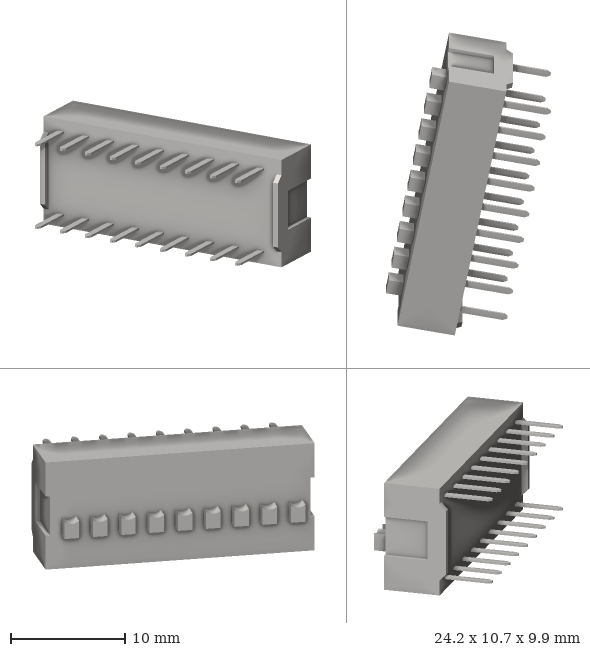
import cadquery as cq


body_length = 24.16
body_thickness = 5.1
body_height = 9.9
body_shift = 0.15

rib_width = 0.5
rib_height = 0.6
rib_base_length = 7.1
rib_top_length = rib_base_length - 2 * rib_height

recess_depth = 0.4
recess_length = 4.0
recess_height = 3.6

position_count = 9
pitch = 2.54
row_spacing = 7.62
pin_width = 0.6
pin_thickness = 0.2
pin_length = 4.3
pin_tip_width = 0.2
pin_taper_length = 0.36

actuator_width = 1.3
actuator_height = 1.6
actuator_length = 1.3
actuator_scoop_depth = 0.25
actuator_bottom = -recess_height / 2

overlap = 0.2

body_left = body_shift - body_length / 2
body_right = body_shift + body_length / 2
position_xs = [pitch * (i - (position_count - 1) / 2) for i in range(position_count)]


def block(x_min, x_max, y_min, y_max, z_min, z_max):
    size = (x_max - x_min, y_max - y_min, z_max - z_min)
    return cq.Workplane("XY").box(*size, centered=False).translate((x_min, y_min, z_min))


def make_rib(x_start):
    half_base = rib_base_length / 2
    half_top = rib_top_length / 2
    profile = [
        (overlap, -half_base),
        (0, -half_base),
        (-rib_height, -half_top),
        (-rib_height, half_top),
        (0, half_base),
        (overlap, half_base),
    ]
    return cq.Workplane("YZ", origin=(x_start, 0, 0)).polyline(profile).close().extrude(rib_width)


def make_recess(x_start):
    return block(
        x_start, x_start + recess_depth,
        body_thickness - recess_length, body_thickness,
        -recess_height / 2, recess_height / 2,
    )


def make_housing():
    housing = block(body_left, body_right, 0, body_thickness, -body_height / 2, body_height / 2)
    for x_start in (body_left, body_right - rib_width):
        housing = housing.union(make_rib(x_start))
    for x_start in (body_left, body_right - recess_depth):
        housing = housing.cut(make_recess(x_start))
    return housing


def make_pin(x, z):
    half_width = pin_width / 2
    half_tip = pin_tip_width / 2
    taper_start = pin_taper_length - pin_length
    outline = [
        (-half_width, overlap),
        (-half_width, taper_start),
        (-half_tip, -pin_length),
        (half_tip, -pin_length),
        (half_width, taper_start),
        (half_width, overlap),
    ]
    pin = cq.Workplane("XY").polyline(outline).close().extrude(pin_thickness)
    return pin.translate((x, 0, z - pin_thickness / 2))


def make_actuator(x):
    half_width = actuator_width / 2
    top = actuator_bottom + actuator_height
    return (
        cq.Workplane("XZ", origin=(x, body_thickness - overlap, 0))
        .moveTo(-half_width, top)
        .lineTo(-half_width, actuator_bottom)
        .lineTo(half_width, actuator_bottom)
        .lineTo(half_width, top)
        .threePointArc((0, top - actuator_scoop_depth), (-half_width, top))
        .close()
        .extrude(-(actuator_length + overlap))
    )


result = make_housing()
for position_x in position_xs:
    result = result.union(make_actuator(position_x))
    for row_z in (-row_spacing / 2, row_spacing / 2):
        result = result.union(make_pin(position_x, row_z))